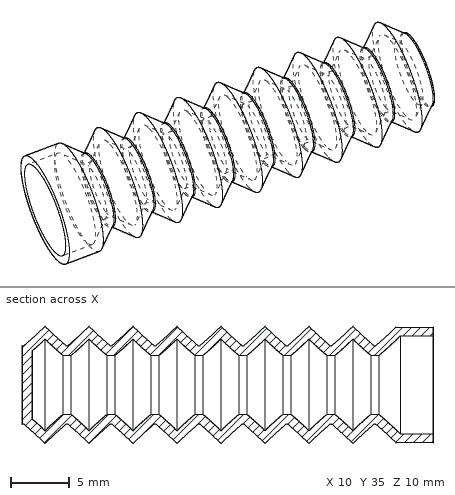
import cadquery as cq

total_length = 35.0
peak_radius = 5.0
neck_radius = 3.35
neck_width = 0.15
collar_radius = 4.95
fold_pitch = 3.75
fold_count = 8
bore_radius = 4.15
cavity_neck_radius = 2.5
cavity_neck_width = 0.65
end_cap_thickness = 0.88

fold_slope = (peak_radius - neck_radius) / ((fold_pitch - neck_width) / 2)
last_neck_y = total_length - neck_width / 2
first_neck_y = last_neck_y - fold_count * fold_pitch


def bellows_body(collar, neck, flat):
    """Revolved solid of a collar and folds; each neck is a short cylinder of length flat."""
    cone_length = (fold_pitch - flat) / 2
    peak = neck + fold_slope * cone_length
    collar_end = first_neck_y - flat / 2 - (collar - neck) / fold_slope
    points = [(0, 0), (collar, 0), (collar, collar_end)]
    for fold in range(fold_count):
        neck_y = first_neck_y + fold * fold_pitch
        points.append((neck, neck_y - flat / 2))
        points.append((neck, neck_y + flat / 2))
        points.append((peak, neck_y + fold_pitch / 2))
    points.append((neck, last_neck_y - flat / 2))
    points.append((neck, last_neck_y + flat / 2))
    points.append((0, last_neck_y + flat / 2))
    return cq.Workplane("XY").polyline(points).close().revolve(360, (0, 0, 0), (0, 1, 0))


def end_cap():
    """Solid disc that closes the cavity at the far end."""
    cap_start = total_length - end_cap_thickness
    cap = cq.Workplane("XZ", origin=(0, cap_start, 0)).circle(peak_radius)
    return cap.extrude(-2 * end_cap_thickness)


outer_body = bellows_body(collar_radius, neck_radius, neck_width)
cavity = bellows_body(bore_radius, cavity_neck_radius, cavity_neck_width).cut(end_cap())
result = outer_body.cut(cavity)